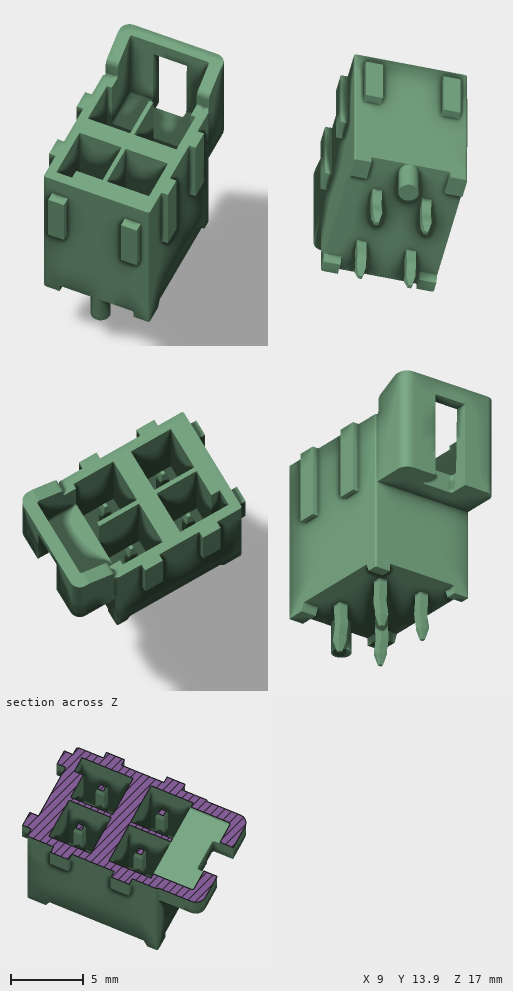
import cadquery as cq
import math


OVERALL_HEIGHT = 17

BODY_WIDTH = 8.0
BODY_DEPTH = 10.01
BODY_HEIGHT = 11.8
BODY_EDGE_RADIUS = 0.15

CHANNEL_HEIGHT = 0.58
CHANNEL_HALF_WIDTH = 2.79
CHANNEL_FILLET = 0.08
CHANNEL_FRONT = 1.73
CHANNEL_REAR = 8.95
CHANNEL_FLARE = 0.25

PITCH_X = 3.5
PITCH_Y = 4.59
FRONT_ROW_Y = 2.98
ROWS_Y = (FRONT_ROW_Y, FRONT_ROW_Y + PITCH_Y)
COLUMNS_X = (-PITCH_X / 2, PITCH_X / 2)
CELL_SIZE = 3.2
CELL_FLOOR = 2.5
CELL_OUTER_X = PITCH_X / 2 + CELL_SIZE / 2
CELL_REAR = ROWS_Y[1] + CELL_SIZE / 2
KEY_NOTCH_DEPTH = 0.68

PIN_SIZE = 0.65
PIN_TIP_SIZE = 0.25
PIN_TIP_LENGTH = 0.83
PIN_TOP = 8.5
PIN_BOTTOM = -3.0
PIN_SHOULDER = PIN_BOTTOM + PIN_TIP_LENGTH
BEND_START = 0
INWARD_BEND_MIDDLE = -0.53
BEND_CREST = -0.9
OUTWARD_BEND_MIDDLE = -1.58
BEND_END = -2.07
BEND_INWARD = 0.07
BEND_OUTWARD = 0.12

RIB_BOTTOM = 6.58
RIB_SPAN = 9.0
RIB_WIDTH = 1.41
RIB_CENTRES_Y = (2.72, 7.35)
KEY_WIDTH = 1.19
KEY_TOP = 10.32
KEY_PROJECTION = 0.66

PEG_DIAMETER = 1.4
PEG_BOTTOM = -1.7

FRAME_WIDTH = 7.8
FRAME_REAR = 13.25
FRAME_TOP = OVERALL_HEIGHT + PIN_BOTTOM
FRAME_BOTTOM = RIB_BOTTOM
FRAME_CORNER_RADIUS = 0.75
FRAME_WALL = 0.92
REAR_WALL_LEAN = 0.12
FLAT_TOP_DEPTH = 1.07
SLOPE_ANGLE = 25.5
FRAME_DEPTH = 3.08
FRAME_FRONT = FRAME_REAR - FRAME_DEPTH
FRAME_NOSE_RADIUS = 0.5
FRAME_ROOT_RADIUS = 0.15
CAVITY_FLOOR = 7.92
CAVITY_FILLET = 0.17
WINDOW_WIDTH = 2.53
WINDOW_TOP = 12.82
WINDOW_DEPTH = 1.55
WINDOW_FRONT = FRAME_REAR - WINDOW_DEPTH
WINDOW_CORNER_RADIUS = 0.15


def block(x_range, y_range, z_range):
    """Box between the given limits along each axis."""
    size = [high - low for low, high in (x_range, y_range, z_range)]
    corner = (x_range[0], y_range[0], z_range[0])
    return cq.Workplane("XY").box(*size, centered=False).translate(corner)


def side_profile(points, width):
    """Outline of (y, z) points extruded along X, centred on X = 0."""
    return cq.Workplane("YZ").polyline(points).close().extrude(width / 2, both=True)


def make_body():
    half = BODY_WIDTH / 2
    body = block((-half, half), (0, BODY_DEPTH), (0, BODY_HEIGHT))
    body = body.edges("|Z").fillet(BODY_EDGE_RADIUS)

    lengthwise = block((-CHANNEL_HALF_WIDTH, CHANNEL_HALF_WIDTH), (0, BODY_DEPTH), (0, CHANNEL_HEIGHT))
    lengthwise = lengthwise.edges("|Y and >Z").fillet(CHANNEL_FILLET)
    crosswise = side_profile(
        [
            (CHANNEL_FRONT - CHANNEL_FLARE, 0),
            (CHANNEL_FRONT, CHANNEL_HEIGHT),
            (CHANNEL_REAR, CHANNEL_HEIGHT),
            (CHANNEL_REAR + CHANNEL_FLARE, 0),
        ],
        BODY_WIDTH,
    )
    crosswise = crosswise.edges("|X and >Z").fillet(CHANNEL_FILLET)
    return body.cut(lengthwise).cut(crosswise)


def make_ribs_and_keys():
    half = RIB_SPAN / 2
    ribs = cq.Workplane("XY")
    for y in RIB_CENTRES_Y:
        y_range = (y - RIB_WIDTH / 2, y + RIB_WIDTH / 2)
        ribs = ribs.union(block((-half, half), y_range, (RIB_BOTTOM, BODY_HEIGHT)))
    key = block(
        (CELL_OUTER_X - KEY_WIDTH, CELL_OUTER_X),
        (-KEY_PROJECTION, BODY_EDGE_RADIUS),
        (RIB_BOTTOM, KEY_TOP),
    )
    return ribs.union(key).union(key.mirror("YZ"))


def make_latch_frame():
    slope_start = FRAME_REAR - FLAT_TOP_DEPTH
    slope_drop = (slope_start - FRAME_FRONT) * math.tan(math.radians(SLOPE_ANGLE))
    nose = (FRAME_FRONT, FRAME_TOP - slope_drop)
    root = (FRAME_FRONT, BODY_HEIGHT)
    frame = side_profile(
        [
            (CELL_REAR, FRAME_BOTTOM),
            (FRAME_REAR, FRAME_BOTTOM),
            (FRAME_REAR, FRAME_TOP),
            (slope_start, FRAME_TOP),
            nose,
            root,
            (CELL_REAR, BODY_HEIGHT),
        ],
        FRAME_WIDTH,
    )
    frame = frame.edges(cq.selectors.NearestToPointSelector((0, *nose))).fillet(FRAME_NOSE_RADIUS)
    frame = frame.edges(cq.selectors.NearestToPointSelector((0, *root))).fillet(FRAME_ROOT_RADIUS)
    return frame.edges("|Z and >Y").fillet(FRAME_CORNER_RADIUS)


def make_latch_cavity():
    """Space inside the frame, with a slightly leaning rear face and rounded corners."""
    rear = FRAME_REAR - FRAME_WALL
    cavity = side_profile(
        [
            (CELL_REAR, CAVITY_FLOOR),
            (rear - REAR_WALL_LEAN, CAVITY_FLOOR),
            (rear, FRAME_TOP),
            (CELL_REAR, FRAME_TOP),
        ],
        FRAME_WIDTH - 2 * FRAME_WALL,
    )
    rear_corners = "(not (|X or |Y or |Z))"
    floor_edges = "(<Z and (not <Y))"
    return cavity.edges(f"{rear_corners} or {floor_edges}").fillet(CAVITY_FILLET)


def make_latch_window():
    """Opening through the rear wall that also slots the cavity floor."""
    half = WINDOW_WIDTH / 2
    window = block((-half, half), (WINDOW_FRONT, FRAME_REAR), (FRAME_BOTTOM, WINDOW_TOP))
    return window.edges("|Z and <Y").fillet(WINDOW_CORNER_RADIUS)


def make_cells():
    """Square contact cells; the front left one has a polarising notch."""
    cells = cq.Workplane("XY")
    reach = CELL_SIZE / 2
    for y in ROWS_Y:
        for x in COLUMNS_X:
            cell = block((x - reach, x + reach), (y - reach, y + reach), (CELL_FLOOR, BODY_HEIGHT))
            cells = cells.union(cell)
    front = FRONT_ROW_Y - reach
    notch = block(
        (-CELL_OUTER_X, -CELL_OUTER_X + KEY_WIDTH),
        (front - KEY_NOTCH_DEPTH, front),
        (CELL_FLOOR, BODY_HEIGHT),
    )
    return cells.union(notch)


def pin_tip(x, y, z_base, z_end):
    """Square taper from the full pin section to the blunt end."""
    return (
        cq.Workplane("XY", origin=(x, y, z_base))
        .rect(PIN_SIZE, PIN_SIZE)
        .workplane(offset=z_end - z_base)
        .rect(PIN_TIP_SIZE, PIN_TIP_SIZE)
        .loft()
    )


def s_bend(start, middle_z, end):
    """Middle and end points of two tangent arcs that leave and arrive parallel to Z."""
    fraction = (middle_z - start[1]) / (end[1] - start[1])
    middle = (start[0] + fraction * (end[0] - start[0]), middle_z)
    return [middle, end]


def bent_edge(outline, bends, offset):
    """Straight run to the first bend point, then tangent arcs through the rest, shifted along Y."""
    points = [(y + offset, z) for y, z in bends]
    outline = outline.lineTo(*points[0])
    for point in points[1:]:
        outline = outline.tangentArcPoint(point, relative=False)
    return outline


def make_pin(x, y, inward):
    """Pin with a retention bend; inward is +1 or -1, the Y direction towards the other row."""
    tail_y = y - inward * BEND_OUTWARD
    top = (y, PIN_TOP - PIN_TIP_LENGTH)
    bend_start = (y, BEND_START)
    crest = (y + inward * BEND_INWARD, BEND_CREST)
    bend_end = (tail_y, BEND_END)
    shoulder = (tail_y, PIN_SHOULDER)
    bends = [bend_start]
    bends += s_bend(bend_start, INWARD_BEND_MIDDLE, crest)
    bends += s_bend(crest, OUTWARD_BEND_MIDDLE, bend_end)

    half = PIN_SIZE / 2
    outline = cq.Workplane("YZ").moveTo(top[0] - half, top[1])
    outline = bent_edge(outline, bends, -half)
    outline = outline.lineTo(shoulder[0] - half, shoulder[1]).lineTo(shoulder[0] + half, shoulder[1])
    outline = bent_edge(outline, bends[::-1], half)
    outline = outline.lineTo(top[0] + half, top[1])
    shank = outline.close().extrude(half, both=True).translate((x, 0, 0))
    upper_tip = pin_tip(x, y, PIN_TOP - PIN_TIP_LENGTH, PIN_TOP)
    lower_tip = pin_tip(x, tail_y, PIN_SHOULDER, PIN_BOTTOM)
    return shank.union(upper_tip).union(lower_tip)


def make_peg():
    radius = PEG_DIAMETER / 2
    peg = cq.Workplane("XY", origin=(0, radius, PEG_BOTTOM)).circle(radius)
    return peg.extrude(CHANNEL_HEIGHT - PEG_BOTTOM)


result = make_body().union(make_ribs_and_keys()).union(make_latch_frame())
result = result.cut(make_latch_cavity()).cut(make_latch_window()).cut(make_cells())
result = result.union(make_peg())
for column_x in COLUMNS_X:
    for row_y, inward_direction in zip(ROWS_Y, (1, -1)):
        result = result.union(make_pin(column_x, row_y, inward_direction))